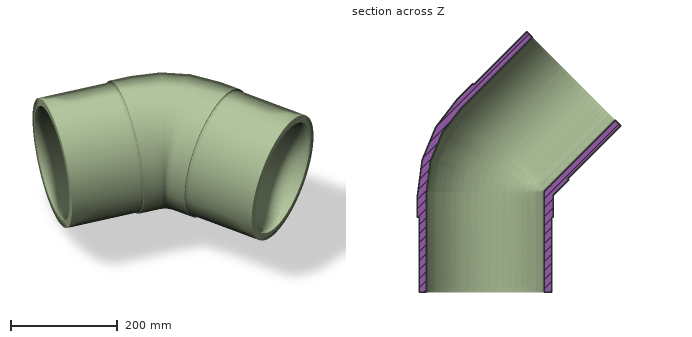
import cadquery as cq
import math

overall_length = 489.5
bend_angle = 45.0
body_diameter = 256.0
spigot_diameter = 250.0
bore_diameter = 220.5
collar_length = 41.0
axis_gap = 0.25

angle = math.radians(bend_angle)
inlet_direction = cq.Vector(0, -1, 0)
outlet_direction = cq.Vector(math.sin(angle), math.cos(angle), 0)
directions = (inlet_direction, outlet_direction)


def bend_radius(diameter):
    """Centreline radius of a bend that turns as tightly as its diameter allows."""
    return diameter / 2 + axis_gap


def tangent_length(diameter):
    """Distance from the crossing of the pipe axes to either end of the bend."""
    return bend_radius(diameter) * math.tan(angle / 2)


spigot_rise = spigot_diameter / 2 * math.sin(angle)
end_reach = (overall_length - spigot_rise) / (1 + math.cos(angle))
collar_start = tangent_length(body_diameter)
collar_end = collar_start + collar_length


def straight(direction, diameter, start, end):
    """Cylinder along one pipe axis between two distances from the crossing."""
    plane = cq.Plane(origin=direction * start, xDir=(0, 0, 1), normal=direction)
    return cq.Workplane(plane).circle(diameter / 2).extrude(end - start)


def bend(diameter):
    """Round bar curved from the inlet axis to the outlet axis."""
    start = inlet_direction * tangent_length(diameter)
    plane = cq.Plane(origin=start, xDir=(1, 0, 0), normal=inlet_direction)
    radius = bend_radius(diameter)
    profile = cq.Workplane(plane).circle(diameter / 2)
    return profile.revolve(bend_angle, (radius, 0, 0), (radius, -1, 0))


def bore():
    """Through passage along both legs and the bend."""
    passage = bend(bore_diameter)
    for direction in directions:
        leg = straight(direction, bore_diameter, tangent_length(bore_diameter), end_reach)
        passage = passage.union(leg)
    return passage


elbow = bend(body_diameter)
for direction in directions:
    collar = straight(direction, body_diameter, collar_start, collar_end)
    spigot = straight(direction, spigot_diameter, collar_start, end_reach)
    elbow = elbow.union(collar).union(spigot)

result = elbow.cut(bore())